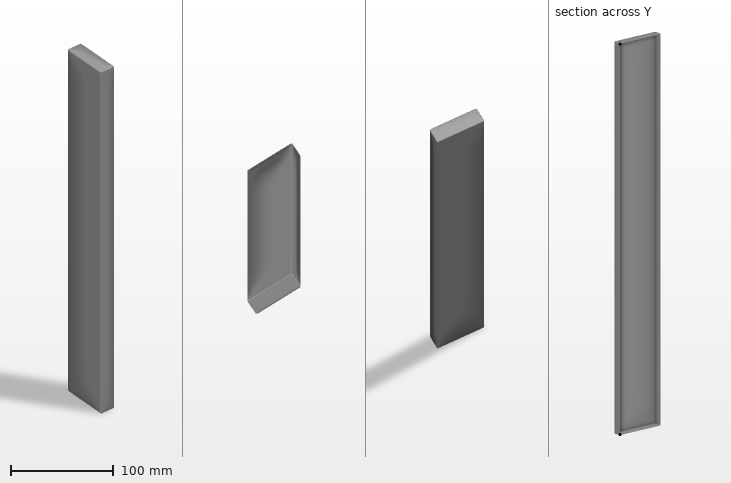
import cadquery as cq

WIDTH = 52.0
DEPTH = 16.8
HEIGHT = 399.0

WALL = 1.0
PANEL_DEPTH = 5.0

CORNER_RADIUS = 1.0
FRONT_RADIUS = 1.5
BACK_RADIUS = 0.8

INNER_WIDTH = WIDTH - 2 * WALL
INNER_HEIGHT = HEIGHT - 2 * WALL


def box_at(width, depth, height, y_min):
    """Box centred on X = 0 and Z = 0, with its front face at y_min."""
    box = cq.Workplane("XY").box(width, depth, height, centered=(True, False, True))
    return box.translate((0, y_min, 0))


def make_housing():
    """Thin-walled tray with rounded outer edges, open towards the back."""
    shell = box_at(WIDTH, DEPTH, HEIGHT, 0)
    shell = shell.edges("|Y").fillet(CORNER_RADIUS)
    shell = shell.faces("<Y").edges().fillet(FRONT_RADIUS)
    shell = shell.faces(">Y").edges().fillet(BACK_RADIUS)
    cavity = box_at(INNER_WIDTH, DEPTH - WALL, INNER_HEIGHT, WALL)
    return shell.cut(cavity)


def make_panel():
    """Flat panel that fills the mouth of the housing, flush with its back rim."""
    return box_at(INNER_WIDTH, PANEL_DEPTH, INNER_HEIGHT, DEPTH - PANEL_DEPTH)


housing = make_housing()
panel = make_panel()

result = cq.Compound.makeCompound([housing.val(), panel.val()])